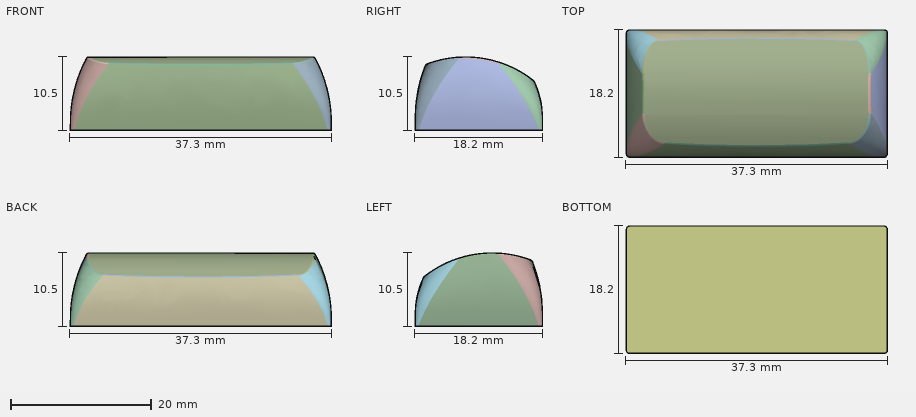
import cadquery as cq
import math


length = 37.3
width = 18.22
height = 10.51

crown_radius = 15.6
crest_y = -1.9
rim_fillet = 0.5

end_wall = {"radius": 20.0, "start": 1.2}
front_wall = {"radius": 20.0, "start": 1.8}
back_wall = {"radius": 12.5, "start": 1.7}

end_bow = 0.12
front_bow = 0.42
back_bow = 0.45

end_back_lean = 0.42

front_corner_along_x = (0.55, 0.27, 0.0266)
back_corner_along_x = (0.50, 0.27, 0.0426)
front_corner_along_y = (0.55, 0.30, 0.0252)
back_corner_along_y = (0.45, 0.40, 0.0220)

trim_allowance = 0.6
body_top = height + trim_allowance
section_count = 12

quarter_arc_ratio = 4 / 3 * (math.sqrt(2) - 1)


def wall_inset(wall, z):
    """Distance the wall has leaned in from the base outline at height z."""
    rise = max(0.0, z - wall["start"])
    return wall["radius"] - math.sqrt(wall["radius"] ** 2 - rise**2)


def corner_reach(coefficients, z):
    """Distance from the outer corner to the end of the rounding at height z."""
    base, linear, quadratic = coefficients
    return base + linear * z + quadratic * z**2


def side_curve(start, end, bow):
    """Side bulging outwards (to the right of its direction) by `bow`; also its control point.

    A quadratic Bezier curve rises half as far as its control point.
    """
    chord = end - start
    outward = cq.Vector(chord.y, -chord.x, 0).normalized()
    control = (start + end) * 0.5 + outward * (2 * bow)
    return cq.Edge.makeBezier([start, control, end]), control


def corner_curve(start, before, end, after):
    """Rounding from one side to the next, tangent to both.

    `before` and `after` are the control points of the sides that it joins.
    """
    leaving = (start - before).normalized()
    arriving = (after - end).normalized()
    turn = leaving.cross(arriving).z
    gap = end - start
    leave_length = gap.cross(arriving).z / turn
    arrive_length = leaving.cross(gap).z / turn
    first = start + leaving * (leave_length * quarter_arc_ratio)
    second = end - arriving * (arrive_length * quarter_arc_ratio)
    return cq.Edge.makeBezier([start, first, second, end])


def section(z):
    """Rounded, slightly bulging rectangle of the body at height z."""
    growth = (z / height) ** 2
    end_x = length / 2 - wall_inset(end_wall, z) - end_bow * growth
    end_back_x = end_x - end_back_lean * growth
    front_y = -width / 2 + wall_inset(front_wall, z) + front_bow * growth
    back_y = width / 2 - wall_inset(back_wall, z) - back_bow * growth
    front_x = length / 2 - corner_reach(front_corner_along_x, z)
    back_x = length / 2 - corner_reach(back_corner_along_x, z)
    end_front_y = -width / 2 + corner_reach(front_corner_along_y, z)
    end_back_y = width / 2 - corner_reach(back_corner_along_y, z)

    sides = [
        (cq.Vector(-front_x, front_y, z), cq.Vector(front_x, front_y, z), front_bow),
        (cq.Vector(end_x, end_front_y, z), cq.Vector(end_back_x, end_back_y, z), end_bow),
        (cq.Vector(back_x, back_y, z), cq.Vector(-back_x, back_y, z), back_bow),
        (cq.Vector(-end_back_x, end_back_y, z), cq.Vector(-end_x, end_front_y, z), end_bow),
    ]
    curves = [side_curve(start, end, bow * growth) for start, end, bow in sides]
    edges = []
    for index, (edge, control) in enumerate(curves):
        following = (index + 1) % len(sides)
        edges.append(edge)
        corner = corner_curve(sides[index][1], control, sides[following][0], curves[following][1])
        edges.append(corner)
    return cq.Wire.assembleEdges(edges)


def make_body():
    """Tall body through all the sections."""
    heights = [body_top * index / (section_count - 1) for index in range(section_count)]
    return cq.Workplane(cq.Solid.makeLoft([section(z) for z in heights]))


def make_crown():
    """Cylinder along X whose crest is the top of the keycap."""
    return (
        cq.Workplane("YZ")
        .center(crest_y, height - crown_radius)
        .circle(crown_radius)
        .extrude(length, both=True)
    )


def round_rim(crowned):
    """Fillet the whole border of the crowned top."""
    return crowned.faces("%CYLINDER").edges().fillet(rim_fillet)


result = round_rim(make_body().intersect(make_crown()))